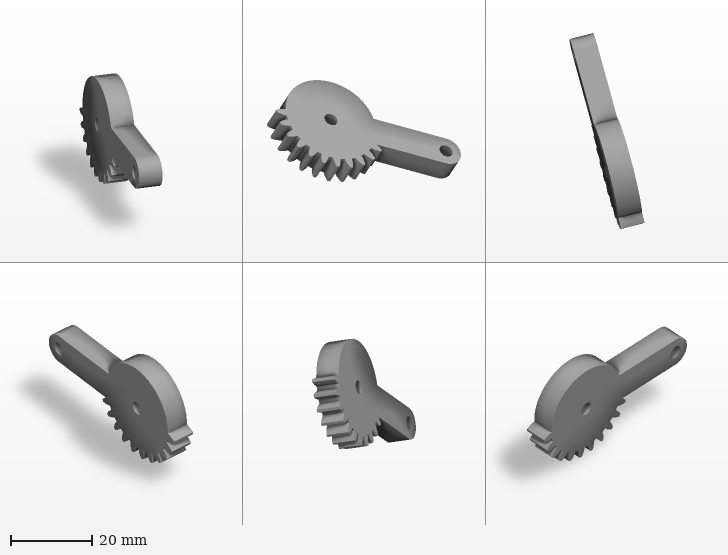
import cadquery as cq
import math

overall_length = 49.3
thickness = 6.0
disc_radius = 12.1
tip_radius = 14.65
arm_end_radius = 4.0
hole_radius = 1.73

full_gear_teeth = 24
tooth_count = 11
tooth_pitch = 360 / full_gear_teeth
first_tooth_angle = 187.5
root_half_angle = 4.8
middle_half_angle = 3.6
tip_half_angle = 1.4
middle_radius = (disc_radius + tip_radius) / 2
tooth_overlap = 0.5
tooth_base_radius = disc_radius - tooth_overlap

left_corner_angle = math.radians(first_tooth_angle - tip_half_angle)
left_reach = -tip_radius * math.cos(left_corner_angle)
arm_length = overall_length - left_reach - arm_end_radius


def polar(radius, angle):
    """Point in the XZ plane at an angle in degrees from +X towards +Z."""
    turn = math.radians(angle)
    return radius * math.cos(turn), radius * math.sin(turn)


def plate(outline):
    """Extrude a closed XZ outline to the full thickness, centred on Y = 0."""
    return outline.extrude(thickness / 2, both=True)


def make_disc():
    return plate(cq.Workplane("XZ").circle(disc_radius))


def make_arm():
    return plate(
        cq.Workplane("XZ")
        .moveTo(0, -arm_end_radius)
        .lineTo(arm_length, -arm_end_radius)
        .threePointArc((arm_length + arm_end_radius, 0), (arm_length, arm_end_radius))
        .lineTo(0, arm_end_radius)
        .close()
    )


def make_tooth(angle):
    """One tooth with curved flanks and a tip on the tip circle."""
    return plate(
        cq.Workplane("XZ")
        .moveTo(*polar(tooth_base_radius, angle - root_half_angle))
        .lineTo(*polar(disc_radius, angle - root_half_angle))
        .threePointArc(
            polar(middle_radius, angle - middle_half_angle),
            polar(tip_radius, angle - tip_half_angle),
        )
        .threePointArc(polar(tip_radius, angle), polar(tip_radius, angle + tip_half_angle))
        .threePointArc(
            polar(middle_radius, angle + middle_half_angle),
            polar(disc_radius, angle + root_half_angle),
        )
        .lineTo(*polar(tooth_base_radius, angle + root_half_angle))
        .close()
    )


def make_holes():
    return plate(
        cq.Workplane("XZ")
        .pushPoints([(0, 0), (arm_length, 0)])
        .circle(hole_radius)
    )


result = make_disc().union(make_arm())
for index in range(tooth_count):
    result = result.union(make_tooth(first_tooth_angle + index * tooth_pitch))
result = result.cut(make_holes())